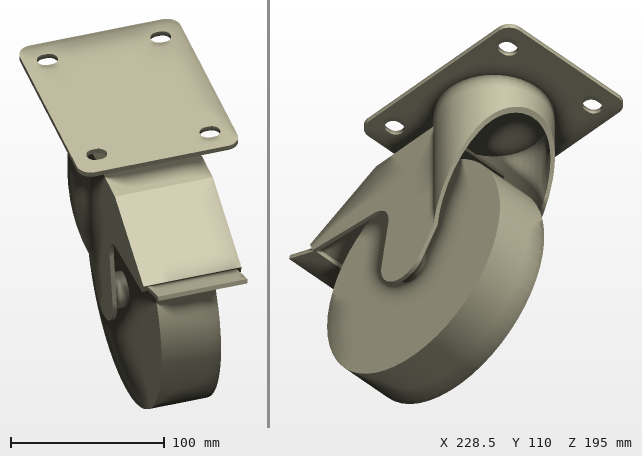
import cadquery as cq
import math


plate_length = 140.0
plate_width = 110.0
plate_thickness = 3.5
plate_corner_radius = 9.5
slot_spacing_x = 105.0
slot_spacing_y = 77.5
slot_length = 13.7
slot_width = 11.2

wheel_radius = 80.0
wheel_width = 40.7
wheel_x = 53.5
wheel_z = -115.0
hub_radius = 12.0

wall = 3.0
tube_radius = 40.0
fork_width = 67.0
fork_inner_width = fork_width - 2 * wall
tube_front_z = -26.5
bend_end = (-19.7, -49.4)
foot_center = (51.0, -116.0)
foot_radius = 19.2
neck_center = (78.2, -75.0)
neck_radius = 14.9
roof_z = -19.5
roof_bend_x = 75.0
tip_top = (136.0, -48.2)
tip_front = (134.2, -54.0)
tip_bottom = (132.5, -55.0)

pedal_start = (134.5, -53.0)
pedal_end_x = 228.5 - plate_length / 2
pedal_angle = math.radians(20.5)

leg_start_x = math.sqrt(tube_radius**2 - (fork_width / 2) ** 2)
bore_radius = tube_radius - wall
leg_inner_start_x = math.sqrt(bore_radius**2 - (fork_inner_width / 2) ** 2)


def point_on(center, radius, angle):
    return (center[0] + radius * math.cos(angle), center[1] + radius * math.sin(angle))


def normal_angle(start, target, reach, side):
    """Angle of the unit normal along which target lies `reach` from start.

    Two normals fit; side (+1 or -1) picks one of them.
    """
    dx = target[0] - start[0]
    dz = target[1] - start[1]
    return math.atan2(dz, dx) + side * math.acos(reach / math.hypot(dx, dz))


def extrude_across(profile, width):
    """Extrude an XZ profile symmetrically about the Y = 0 plane."""
    return profile.extrude(width / 2, both=True)


def make_plate():
    slots = (
        cq.Workplane("XY")
        .rect(slot_spacing_x, slot_spacing_y, forConstruction=True)
        .vertices()
        .slot2D(slot_length, slot_width, 90)
        .extrude(-plate_thickness)
    )
    return (
        cq.Workplane("XY")
        .rect(plate_length, plate_width)
        .extrude(-plate_thickness)
        .edges("|Z")
        .fillet(plate_corner_radius)
        .cut(slots)
    )


def make_side_profile():
    """Side outline of the tube and legs, filled across the full tube width."""
    back_angle = normal_angle(foot_center, neck_center, foot_radius + neck_radius, -1)
    front_angle = normal_angle(foot_center, bend_end, foot_radius, 1)
    lower_angle = normal_angle(tip_bottom, neck_center, -neck_radius, -1)

    foot_middle = (front_angle + back_angle + 2 * math.pi) / 2
    neck_end = back_angle + math.pi
    lower_angle %= 2 * math.pi
    neck_middle = (lower_angle + neck_end) / 2

    profile = (
        cq.Workplane("XZ")
        .moveTo(-tube_radius, -plate_thickness)
        .lineTo(tube_radius, -plate_thickness)
        .lineTo(tube_radius, roof_z)
        .lineTo(roof_bend_x, roof_z)
        .lineTo(*tip_top)
        .lineTo(*tip_front)
        .lineTo(*tip_bottom)
        .lineTo(*point_on(neck_center, neck_radius, lower_angle))
        .threePointArc(
            point_on(neck_center, neck_radius, neck_middle),
            point_on(neck_center, neck_radius, neck_end),
        )
        .lineTo(*point_on(foot_center, foot_radius, back_angle))
        .threePointArc(
            point_on(foot_center, foot_radius, foot_middle),
            point_on(foot_center, foot_radius, front_angle),
        )
        .lineTo(*bend_end)
        .tangentArcPoint((-tube_radius, tube_front_z), relative=False)
        .close()
    )
    return extrude_across(profile, 2 * tube_radius)


def make_plan(radius, width, straight_x, top_z):
    """Round-nosed column of the fork, running straight back from straight_x."""
    return (
        cq.Workplane("XY", origin=(0, 0, top_z))
        .moveTo(straight_x, width / 2)
        .threePointArc((-radius, 0), (straight_x, -width / 2))
        .lineTo(pedal_end_x, -width / 2)
        .lineTo(pedal_end_x, width / 2)
        .close()
        .extrude(wheel_z - wheel_radius)
    )


def make_roof():
    slope = math.atan2(roof_z - tip_top[1], tip_top[0] - roof_bend_x)
    tip_drop = wall / math.cos(slope)
    bend_shift = wall * math.tan(slope / 2)
    profile = cq.Workplane("XZ").polyline(
        [
            (leg_inner_start_x, roof_z),
            (roof_bend_x, roof_z),
            tip_top,
            (tip_top[0], tip_top[1] - tip_drop),
            (roof_bend_x - bend_shift, roof_z - wall),
            (leg_inner_start_x, roof_z - wall),
        ]
    )
    return extrude_across(profile.close(), fork_inner_width)


def make_fork():
    collar = cq.Workplane("XY", origin=(0, 0, -plate_thickness)).circle(tube_radius)
    collar = collar.circle(bore_radius).extrude(roof_z + plate_thickness)
    outside = make_plan(tube_radius, fork_width, leg_start_x, roof_z)
    inside = make_plan(bore_radius, fork_inner_width, leg_inner_start_x, roof_z)
    shell = outside.cut(inside).union(collar).intersect(make_side_profile())
    return shell.union(make_roof().intersect(make_side_profile()))


def make_pedal():
    rise = math.tan(pedal_angle)
    thickness_x = wall * math.sin(pedal_angle)
    thickness_z = wall * math.cos(pedal_angle)
    end_z = pedal_start[1] + (pedal_end_x - pedal_start[0]) * rise
    profile = cq.Workplane("XZ").polyline(
        [
            pedal_start,
            (pedal_end_x, end_z),
            (pedal_end_x - thickness_x, end_z + thickness_z),
            (pedal_start[0] - thickness_x, pedal_start[1] + thickness_z),
        ]
    )
    return extrude_across(profile.close(), fork_inner_width)


def make_wheel():
    center = cq.Workplane("XZ", origin=(wheel_x, 0, wheel_z))
    tire = extrude_across(center.circle(wheel_radius), wheel_width)
    hub = extrude_across(center.circle(hub_radius), fork_inner_width)
    return tire.union(hub)


result = make_plate().union(make_fork()).union(make_pedal()).union(make_wheel())